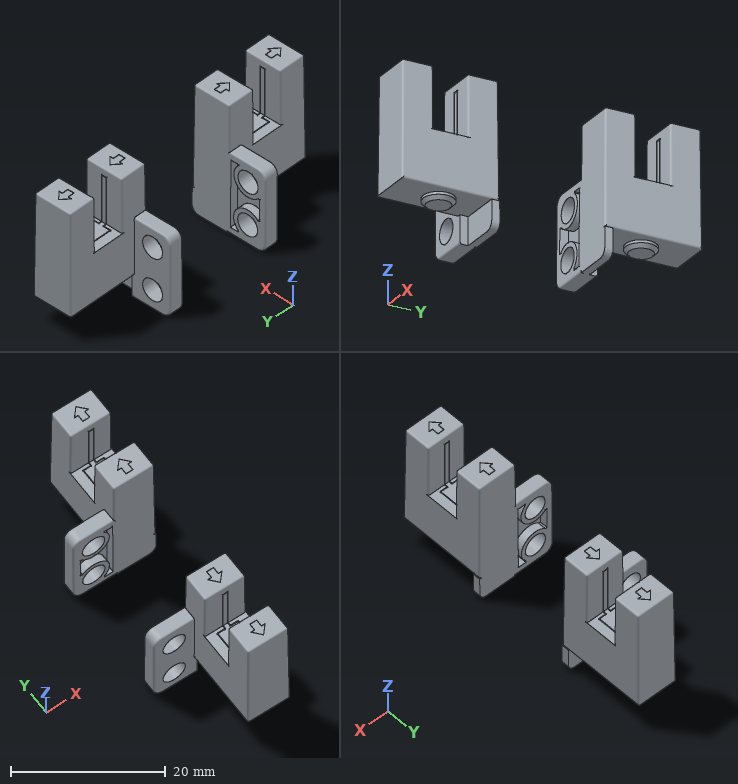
import cadquery as cq
import math

total_width = 13.0
total_length = 44.55
total_height = 21.3
sensor_length = 14.5
case_width = 6.7
case_bottom = 4.15
draft_angle = 0.5
edge_radius = 0.3

slot_width = 5.1
slot_floor = 12.2

bracket_height = 13.55
bracket_thickness = 2.45
bracket_overlap = 0.5
foot_thickness = 1.25
corner_radius = 1.45
foot_corner_radius = 1.2
hole_diameter = 3.5
hole_spacing = 7.13
hole_x = 3.15
lower_hole_z = 3.25
boss_radius = 2.5
pocket_depth = 1.35
pocket_left = 1.05
pocket_right = 6.2
pocket_channel_left = 4.85
pocket_field_offset = 1.75
pocket_margin = 1.15

window_width = 3.4
window_length = 4.15
slit_width = 0.9
slit_top = 20.05
insert_depth = 0.65
insert_gap = 0.1

cable_diameter = 4.55
cable_length = 0.95
cable_chamfer = 0.55

arrow_spacing = 9.65
arrow_length = 2.3
arrow_width = 2.23
arrow_head_length = 1.25
arrow_shaft_width = 1.05
engraving_depth = 0.05

overcut = 0.45

y_outer = total_length / 2
y_inner = y_outer - sensor_length
case_left = total_width - case_width
center_x = total_width - case_width / 2
center_y = (y_inner + y_outer) / 2
draft_slope = math.tan(math.radians(draft_angle))
hole_points = [(hole_x, lower_hole_z), (hole_x, lower_hole_z + hole_spacing)]


def box(x0, x1, y0, y1, z0, z1):
    """Rectangular block between two corners."""
    return cq.Workplane("XY").box(x1 - x0, y1 - y0, z1 - z0, centered=False).translate((x0, y0, z0))


def hole_cylinders(radius, y0, y1):
    """Cylinders along Y on the two mounting-hole axes."""
    plane = cq.Workplane("XZ", origin=(0, y0, 0))
    return plane.pushPoints(hole_points).circle(radius).extrude(y0 - y1)


def make_case_block():
    """Tapered two-pronged block with all edges rounded except the underside and slot floor."""
    slot_start = center_y - slot_width / 2
    slot_end = center_y + slot_width / 2
    front_setback = case_bottom * draft_slope
    block = (
        cq.Workplane("XY", origin=(center_x, center_y + front_setback / 2, case_bottom))
        .rect(case_width, sensor_length - front_setback)
        .extrude(total_height - case_bottom, taper=draft_angle)
        .cut(box(0, total_width, slot_start, slot_end, slot_floor, total_height))
    )
    underside = cq.selectors.BoxSelector(
        (0, 0, case_bottom - overcut), (total_width, total_length, case_bottom + overcut)
    )
    slot_bottom = cq.selectors.BoxSelector(
        (0, slot_start - overcut, slot_floor - overcut),
        (total_width, slot_end + overcut, slot_floor + overcut),
    )
    return block.edges(-(underside + slot_bottom)).fillet(edge_radius)


def make_plate(x0, x1, thickness, height):
    """Upright plate whose inner face follows the draft of the case."""
    y_back = y_inner + thickness
    y_top = y_inner + height * draft_slope
    profile = [(y_inner, 0), (y_back, 0), (y_back, height), (y_top, height)]
    return cq.Workplane("YZ", origin=(x0, 0, 0)).polyline(profile).close().extrude(x1 - x0)


def make_bracket():
    """Mounting wing with rounded corners and edges, and a thinner foot below the case."""
    foot_left = case_left + bracket_overlap
    wing = make_plate(0, foot_left, bracket_thickness, bracket_height)
    wing = wing.faces("<X").edges("|Y").fillet(corner_radius)
    wing = wing.faces("<X").edges("not |Y").fillet(edge_radius)
    foot = make_plate(foot_left, total_width, foot_thickness, case_bottom)
    foot = foot.edges("|Y and >X and <Z").fillet(foot_corner_radius)
    return wing.union(foot)


def make_pocket():
    """Channel beside the holes and a field between them, leaving a round boss at each hole."""
    y_floor = y_inner + pocket_depth
    channel = box(
        pocket_channel_left, pocket_right, y_inner - overcut, y_floor,
        pocket_margin, bracket_height - pocket_margin,
    )
    field = box(
        pocket_left, pocket_right, y_inner - overcut, y_floor,
        lower_hole_z + pocket_field_offset, lower_hole_z + hole_spacing - pocket_field_offset,
    )
    return channel.union(field).cut(hole_cylinders(boss_radius, y_inner - overcut, y_floor))


def make_insert_shape(clearance):
    """Window plate crossed by a U-shaped strip that turns up into the slits of the prongs."""
    half_window_x = window_width / 2 - clearance
    half_window_y = window_length / 2 - clearance
    half_slit = slit_width / 2 - clearance
    half_slot = slot_width / 2
    reach = half_slot + insert_depth
    bottom = slot_floor - insert_depth
    top = slit_top - clearance
    plate = box(-half_window_x, half_window_x, -half_window_y, half_window_y, bottom, slot_floor)
    strip = box(-half_slit, half_slit, -reach, reach, bottom, top)
    strip = strip.cut(box(-half_slit, half_slit, -half_slot, half_slot, slot_floor, top))
    return plate.union(strip).translate((center_x, center_y, 0))


def make_arrow(y_middle):
    """Arrow engraved in the top of a prong, pointing to +Y."""
    tail = -arrow_length / 2
    tip = arrow_length / 2
    shoulder = tip - arrow_head_length
    outline = [
        (-arrow_shaft_width / 2, tail),
        (arrow_shaft_width / 2, tail),
        (arrow_shaft_width / 2, shoulder),
        (arrow_width / 2, shoulder),
        (0, tip),
        (-arrow_width / 2, shoulder),
        (-arrow_shaft_width / 2, shoulder),
    ]
    plane = cq.Workplane("XY", origin=(center_x, y_middle, total_height))
    return plane.polyline(outline).close().extrude(-engraving_depth)


def make_housing():
    """Case and bracket in one piece."""
    housing = make_case_block().union(make_bracket())
    housing = housing.cut(make_pocket())
    housing = housing.cut(hole_cylinders(hole_diameter / 2, y_inner - overcut, y_outer))
    housing = housing.cut(make_insert_shape(0))
    for y_middle in (center_y - arrow_spacing / 2, center_y + arrow_spacing / 2):
        housing = housing.cut(make_arrow(y_middle))
    return housing


def make_insert():
    """Optical insert sitting with a small gap in the window and slits."""
    return make_insert_shape(insert_gap)


def make_cable():
    """Cable stub under the case."""
    return (
        cq.Workplane("XY", origin=(center_x, center_y, case_bottom))
        .circle(cable_diameter / 2)
        .extrude(-cable_length)
        .faces("<Z")
        .chamfer(cable_chamfer)
    )


bodies = []
for make_body in (make_housing, make_insert, make_cable):
    body = make_body()
    bodies.append(body.val())
    bodies.append(body.mirror("XZ").val())

result = cq.Compound.makeCompound(bodies)